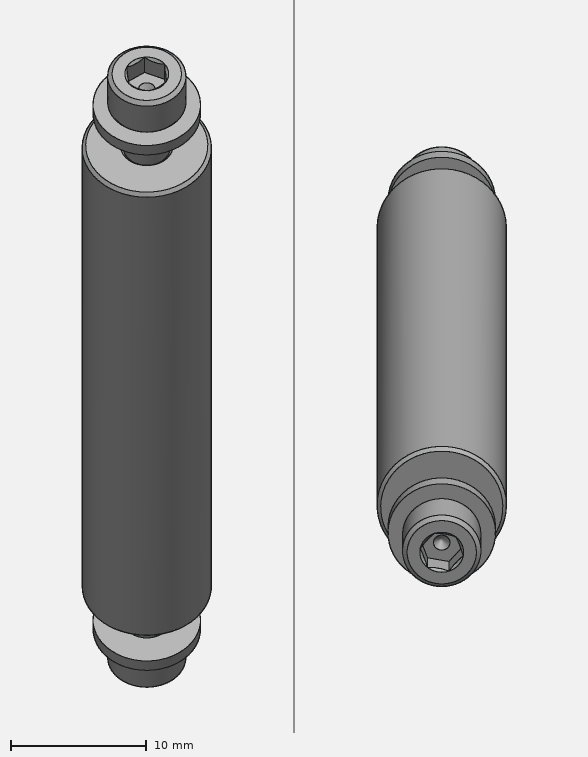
import cadquery as cq

overall_length = 67.2

body_diameter = 9.55
body_length = 50.8
body_edge = 0.3
body_hole_rim_diameter = 3.9

shank_diameter = 3.5
head_diameter = 5.8
head_height = 3.5
head_top_edge_width = 0.35
head_top_edge_height = 0.3
head_base_edge_width = 0.2
head_base_edge_height = 0.3

washer_diameter = 7.9
washer_thickness = 1.1

socket_across_corners = 3.2
socket_depth = 1.75
socket_bevel = 0.2
drill_point_diameter = 1.2
drill_point_depth = 0.6
hexagon_sides = 6
corner_turn = 90

body_end = body_length / 2
head_top = overall_length / 2
head_base = head_top - head_height
washer_base = head_base - washer_thickness
socket_floor = head_top - socket_depth

body_radius = body_diameter / 2
hole_rim_radius = body_hole_rim_diameter / 2
shank_radius = shank_diameter / 2
head_radius = head_diameter / 2
washer_radius = washer_diameter / 2
mouth_radius = socket_across_corners / 2
drill_point_radius = drill_point_diameter / 2


def revolve_about_z(outline):
    """Turn a closed outline of (radius, height) points about the Z axis."""
    return cq.Workplane("XZ").polyline(outline).close().revolve(360, (0, 0, 0), (0, 1, 0))


def solid_assembly():
    """Body, shanks, washers and heads turned as one piece, without the drive sockets."""
    hole_bevel = hole_rim_radius - shank_radius
    upper_outline = [
        (body_radius, body_end - body_edge),
        (body_radius - body_edge, body_end),
        (hole_rim_radius, body_end),
        (shank_radius, body_end - hole_bevel),
        (shank_radius, washer_base),
        (washer_radius, washer_base),
        (washer_radius, head_base),
        (head_radius - head_base_edge_width, head_base),
        (head_radius, head_base + head_base_edge_height),
        (head_radius, head_top - head_top_edge_height),
        (head_radius - head_top_edge_width, head_top),
        (0, head_top),
    ]
    lower_outline = [(radius, -height) for radius, height in reversed(upper_outline)]
    return revolve_about_z(lower_outline + upper_outline)


def drive_socket():
    """Cavity of the upper screw: a hexagon with two corners in the YZ plane."""
    hexagon = (
        cq.Workplane("XY", origin=(0, 0, socket_floor))
        .transformed(rotate=(0, 0, corner_turn))
        .polygon(hexagon_sides, socket_across_corners)
        .extrude(socket_depth)
    )
    mouth = revolve_about_z([
        (0, head_top),
        (mouth_radius, head_top),
        (mouth_radius - socket_bevel, head_top - socket_bevel),
        (0, head_top - socket_bevel),
    ])
    drill_point = revolve_about_z([
        (0, socket_floor),
        (drill_point_radius, socket_floor),
        (0, socket_floor - drill_point_depth),
    ])
    return hexagon.union(mouth).union(drill_point)


upper_socket = drive_socket()
lower_socket = upper_socket.mirror("XY")
result = solid_assembly().cut(upper_socket).cut(lower_socket)